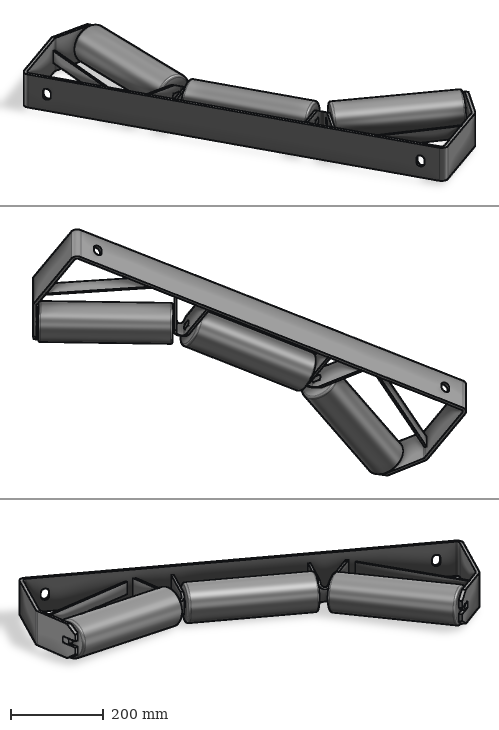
import cadquery as cq
import math

FRAME_LENGTH = 980.0
FRAME_HEIGHT = 80.0
FRAME_THICKNESS = 8.0
FRAME_BEND_RADIUS = 15.0
TIP_END_Y = 290.0
TIP_CHAMFER_RUN = 24.0
TIP_CHAMFER_DROP = 18.0
MOUNT_SLOT_SPACING = 864.0
MOUNT_SLOT_WIDTH = 19.0
MOUNT_SLOT_HEIGHT = 26.0

TROUGH_ANGLE = 30.0
ROLLER_DIAMETER = 89.0
ROLLER_LENGTH = 290.0
ROLLER_EDGE_RADIUS = 5.0
SHAFT_DIAMETER = 21.0
SHAFT_FLAT_WIDTH = 15.0
CENTER_ROLLER_Y = 102.0
OUTER_ROLLER_X = 307.0
OUTER_ROLLER_Y = 185.0
BRACKET_GAP = 3.0
TIP_GAP = 4.0

BRACKET_HEIGHT = 54.0
BRACKET_THICKNESS = 6.0
BRACKET_Z = -7.0
CREST_RADIUS = 14.0
CREST_CHAMFER_RUN = 24.0
CREST_CHAMFER_DROP = 13.0

BRACE_THICKNESS = 5.0
BRACE_HEIGHT = 29.0
BRACE_TOP_Y = 169.0
BRACE_FOOT_X = 255.0

HALF_LENGTH = FRAME_LENGTH / 2
TROUGH_RADIANS = math.radians(TROUGH_ANGLE)
TROUGH_COS = math.cos(TROUGH_RADIANS)
TROUGH_SIN = math.sin(TROUGH_RADIANS)
TROUGH_TAN = math.tan(TROUGH_RADIANS)
BRACKET_OFFSET = ROLLER_LENGTH / 2 + BRACKET_GAP
TIP_OFFSET = ROLLER_LENGTH / 2 + TIP_GAP
BRACKET_SHAFT_REACH = BRACKET_OFFSET + BRACKET_THICKNESS
TIP_SHAFT_REACH = TIP_OFFSET + FRAME_THICKNESS
OUTER_ROLLER_TILT = math.atan2(-BRACKET_Z, TIP_OFFSET + BRACKET_OFFSET)


def left_axis_point(distance):
    """Plan point on the left outer roller's axis, measured from its middle toward its bracket."""
    return (-OUTER_ROLLER_X + distance * TROUGH_COS, OUTER_ROLLER_Y - distance * TROUGH_SIN)


def place_center(body):
    return body.translate((0, CENTER_ROLLER_Y, BRACKET_Z))


def place_left(body):
    """The outer roller slopes from mid-height of the frame tip down to mid-height of the bracket."""
    body = body.rotate((0, 0, 0), (0, 1, 0), math.degrees(OUTER_ROLLER_TILT))
    body = body.rotate((0, 0, 0), (0, 0, 1), -TROUGH_ANGLE)
    return body.translate((-OUTER_ROLLER_X, OUTER_ROLLER_Y, BRACKET_Z / 2))


def mirrored(body):
    return body.mirror("YZ")


def make_shaft(start_x, end_x):
    length = end_x - start_x
    flats = cq.Workplane("XY").box(length, SHAFT_DIAMETER, SHAFT_FLAT_WIDTH)
    shaft = (
        cq.Workplane("YZ")
        .circle(SHAFT_DIAMETER / 2)
        .extrude(length)
        .translate((-length / 2, 0, 0))
        .intersect(flats)
    )
    return shaft.translate(((start_x + end_x) / 2, 0, 0))


def make_roller(shaft_start, shaft_end):
    drum = (
        cq.Workplane("YZ")
        .circle(ROLLER_DIAMETER / 2)
        .extrude(ROLLER_LENGTH)
        .translate((-ROLLER_LENGTH / 2, 0, 0))
        .edges()
        .fillet(ROLLER_EDGE_RADIUS)
    )
    return drum.union(make_shaft(shaft_start, shaft_end))


def make_side_envelope(end_y, chamfer_run, chamfer_drop, height):
    half = height / 2
    return (
        cq.Workplane("YZ")
        .moveTo(0, -half)
        .lineTo(end_y - chamfer_run, -half)
        .lineTo(end_y, chamfer_drop - half)
        .lineTo(end_y, half - chamfer_drop)
        .lineTo(end_y - chamfer_run, half)
        .lineTo(0, half)
        .close()
        .extrude(HALF_LENGTH, both=True)
    )


def make_frame_strip():
    face_x, face_y = left_axis_point(-TIP_SHAFT_REACH)
    bend_y = face_y - (face_x + HALF_LENGTH) / TROUGH_TAN
    tip_x = -HALF_LENGTH + (TIP_END_Y - bend_y) * TROUGH_TAN
    inner_x = -HALF_LENGTH + FRAME_THICKNESS
    inner_bend_y = bend_y - FRAME_THICKNESS * math.tan(TROUGH_RADIANS / 2)
    inner_tip_x = tip_x + FRAME_THICKNESS * TROUGH_COS
    inner_tip_y = TIP_END_Y - FRAME_THICKNESS * TROUGH_SIN

    outer_bends = [(-HALF_LENGTH, bend_y), (-HALF_LENGTH, 0)]
    inner_bends = [(inner_x, FRAME_THICKNESS), (inner_x, inner_bend_y)]
    left_half = (
        cq.Workplane("XY")
        .polyline(
            [(inner_tip_x, inner_tip_y), (tip_x, TIP_END_Y)]
            + outer_bends
            + [(0, 0), (0, FRAME_THICKNESS)]
            + inner_bends
        )
        .close()
        .extrude(FRAME_HEIGHT / 2, both=True)
    )
    bend_radii = [
        (outer_bends, FRAME_BEND_RADIUS),
        (inner_bends, FRAME_BEND_RADIUS - FRAME_THICKNESS),
    ]
    for bends, radius in bend_radii:
        for x, y in bends:
            left_half = left_half.edges(cq.NearestToPointSelector((x, y, 0))).fillet(radius)

    envelope = make_side_envelope(TIP_END_Y, TIP_CHAMFER_RUN, TIP_CHAMFER_DROP, FRAME_HEIGHT)
    left_half = left_half.intersect(envelope)
    return left_half.union(mirrored(left_half))


def make_tip_slot():
    far_x = -TIP_SHAFT_REACH - FRAME_THICKNESS
    near_x = -ROLLER_LENGTH / 2
    opening = cq.Workplane("XY").box(
        near_x - far_x, ROLLER_DIAMETER, SHAFT_FLAT_WIDTH, centered=(False, False, True)
    )
    seat = make_shaft(far_x, near_x)
    return place_left(seat.union(opening.translate((far_x, 0, 0))))


def make_frame():
    mount_slots = (
        cq.Workplane("XZ")
        .pushPoints([(-MOUNT_SLOT_SPACING / 2, 0), (MOUNT_SLOT_SPACING / 2, 0)])
        .slot2D(MOUNT_SLOT_HEIGHT, MOUNT_SLOT_WIDTH, 90)
        .extrude(-FRAME_THICKNESS)
    )
    tip_slot = make_tip_slot()
    return make_frame_strip().cut(mount_slots).cut(tip_slot).cut(mirrored(tip_slot))


def make_bracket():
    slope_x, slope_y = left_axis_point(BRACKET_OFFSET)
    crest_x = -BRACKET_OFFSET - CREST_RADIUS
    crest_y = slope_y + ((crest_x - slope_x) * TROUGH_COS - CREST_RADIUS) / TROUGH_SIN
    middle_angle = math.pi / 2 - TROUGH_RADIANS / 2

    def solid_arch(radius):
        """Filled arch whose legs are tangent to a crest arc of this radius."""
        slope_top_x = crest_x - radius * TROUGH_COS
        slope_top_y = crest_y + radius * TROUGH_SIN
        slope_foot_x = slope_top_x - (slope_top_y - FRAME_THICKNESS) * TROUGH_TAN
        arc_middle = (
            crest_x + radius * math.cos(middle_angle),
            crest_y + radius * math.sin(middle_angle),
        )
        return (
            cq.Workplane("XY")
            .moveTo(slope_foot_x, FRAME_THICKNESS)
            .lineTo(slope_top_x, slope_top_y)
            .threePointArc(arc_middle, (crest_x + radius, crest_y))
            .lineTo(crest_x + radius, FRAME_THICKNESS)
            .close()
            .extrude(BRACKET_HEIGHT / 2, both=True)
        )

    strip = solid_arch(CREST_RADIUS).cut(solid_arch(CREST_RADIUS - BRACKET_THICKNESS))
    envelope = make_side_envelope(
        crest_y + CREST_RADIUS, CREST_CHAMFER_RUN, CREST_CHAMFER_DROP, BRACKET_HEIGHT
    )
    strip = strip.intersect(envelope).translate((0, 0, BRACKET_Z))

    center_hole = place_center(make_shaft(-BRACKET_SHAFT_REACH - BRACKET_THICKNESS, 0))
    outer_hole = place_left(make_shaft(0, BRACKET_SHAFT_REACH + BRACKET_THICKNESS))
    return strip.cut(center_hole).cut(outer_hole)


def make_brace():
    top_x = -HALF_LENGTH + FRAME_THICKNESS
    run = -BRACE_FOOT_X - top_x
    rise = BRACE_TOP_Y - FRAME_THICKNESS
    bar = cq.Workplane("XY").box(
        math.hypot(run, rise), BRACE_THICKNESS, BRACE_HEIGHT, centered=(False, False, True)
    )
    bar = bar.rotate((0, 0, 0), (0, 0, 1), -math.degrees(math.atan2(rise, run)))
    return bar.translate((top_x, BRACE_TOP_Y, 0))


frame = make_frame()
center_roller = place_center(make_roller(-BRACKET_SHAFT_REACH, BRACKET_SHAFT_REACH))
outer_roller = place_left(make_roller(-TIP_SHAFT_REACH, BRACKET_SHAFT_REACH))
bracket = make_bracket()
brace = make_brace()

bodies = [frame, center_roller]
for side_body in (outer_roller, bracket, brace):
    bodies.append(side_body)
    bodies.append(mirrored(side_body))

result = cq.Compound.makeCompound([body.val() for body in bodies])